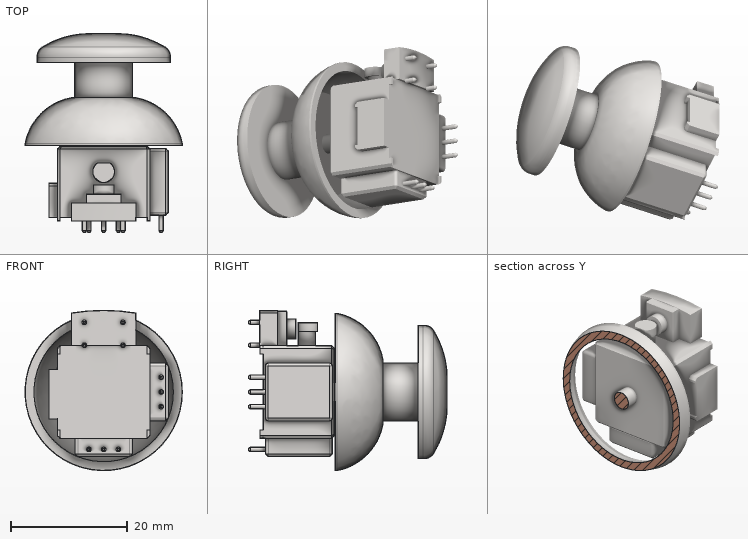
import cadquery as cq


cap_radius = 23.0 / 2
cap_bottom_y = 14.32
cap_side_height = 0.85
cap_shoulder_radius = 10.62
cap_shoulder_y = 16.95
cap_shoulder_round = 2.0
cap_flat_radius = 2.05
cap_top_y = 19.32
cap_crown_round = 16.0
neck_radius = 10.0 / 2

bowl_radius = 27.1 / 2
bowl_wall = 1.55
bowl_lip = 0.35
bowl_round = 10.0
bowl_top_y = 8.3
bowl_top_radius = 5.45
roof_radius = 9.0
roof_y = 5.38
pivot_radius = 3.22 / 2

housing_width = 15.95
housing_half = housing_width / 2
housing_front_y = -0.1
housing_back_y = -12.4
housing_chamfer = 0.48
tab_length = 0.55
tab_thickness = 0.48
tab_height = 1.47

clip_depth = 1.47
clip_top_z = 3.87
clip_bottom_z = -4.63
clip_front_y = -6.92
hook_length = 0.48
hook_height = 0.9

pot_width = 9.95
pot_depth = 3.15
pot_front_y = -0.45
pot_back_y = -12
pot_round = 0.5
pot_chamfer = 0.48
pot_pin_offset = 1.92
pot_pin_pitch = 2.55

switch_width = 11.1
switch_front_y = -9.9
switch_back_y = -13.0
switch_edge_z = 13.6
switch_top_z = 27.6 - bowl_radius
plate_width = 6.0
plate_front_y = -8.3
plate_chamfer = 0.1
plate_top_z = 13.9
nub_radius = 3.5 / 2
nub_front_y = -6.75
nub_z = 10.85
switch_pin_x = 3.32
switch_pin_z = (8.05, 12)

button_radius = 3.75 / 2
button_y = -4.5
button_flat_y = -2.98
button_bottom_z = 10.38
button_top_z = 11.95
shank_radius = 3.0 / 2

pin_radius = 0.8 / 2
pin_end_y = cap_top_y - 34.25
pin_tip_length = 0.35
pin_tip_radius = 0.17


def block(x_range, y_range, z_range):
    """Box given by its lower and upper bound along each axis."""
    (x0, x1), (y0, y1), (z0, z1) = x_range, y_range, z_range
    return cq.Workplane("XY").box(x1 - x0, y1 - y0, z1 - z0, centered=False).translate((x0, y0, z0))


def turned(profile):
    """Revolve a closed (radius, y) profile about the Y axis."""
    return profile.close().revolve(360, (0, 0, 0), (0, 1, 0))


def rod_along_y(radius, x, z, y_front, y_back):
    """Round bar parallel to Y, from y_front back to y_back."""
    plane = cq.Plane(origin=(x, y_front, z), xDir=(1, 0, 0), normal=(0, -1, 0))
    return cq.Workplane(plane).circle(radius).extrude(y_front - y_back)


def make_cap():
    profile = (
        cq.Workplane("XY")
        .moveTo(0, cap_bottom_y)
        .lineTo(cap_radius, cap_bottom_y)
        .lineTo(cap_radius, cap_bottom_y + cap_side_height)
        .radiusArc((cap_shoulder_radius, cap_shoulder_y), -cap_shoulder_round)
        .radiusArc((cap_flat_radius, cap_top_y), -cap_crown_round)
        .lineTo(0, cap_top_y)
    )
    return turned(profile)


def make_bowl():
    inner_radius = bowl_radius - bowl_wall
    profile = (
        cq.Workplane("XY")
        .moveTo(inner_radius, 0)
        .lineTo(bowl_radius, 0)
        .lineTo(bowl_radius, bowl_lip)
        .radiusArc((bowl_top_radius, bowl_top_y), -bowl_round)
        .lineTo(0, bowl_top_y)
        .lineTo(0, roof_y)
        .lineTo(roof_radius, roof_y)
        .radiusArc((inner_radius, bowl_lip), bowl_round - bowl_wall)
    )
    return turned(profile)


def make_housing():
    back_y = housing_back_y - tab_length
    span = (-housing_half, housing_half)
    body = block(span, (back_y, housing_front_y), span)
    body = body.edges("|Y").chamfer(housing_chamfer).faces(">Y").chamfer(housing_chamfer)
    trim_y = (back_y, housing_back_y)
    inner_x = housing_half - tab_thickness
    inner_z = housing_half - tab_height
    body = body.cut(block((-inner_x, inner_x), trim_y, span))
    return body.cut(block(span, trim_y, (-inner_z, inner_z)))


def make_clip():
    tip_y = clip_front_y + hook_length
    outline = [
        (housing_back_y, clip_bottom_z),
        (clip_front_y, clip_bottom_z),
        (tip_y, clip_bottom_z + hook_length),
        (tip_y, clip_bottom_z + hook_height),
        (clip_front_y, clip_bottom_z + hook_height),
        (clip_front_y, clip_top_z - hook_height),
        (tip_y, clip_top_z - hook_height),
        (tip_y, clip_top_z - hook_length),
        (clip_front_y, clip_top_z),
        (housing_back_y, clip_top_z),
    ]
    return cq.Workplane("YZ", origin=(-housing_half, 0, 0)).polyline(outline).close().extrude(-clip_depth)


def make_pin(x, z, y_start):
    cone_y = pin_end_y + pin_tip_length
    shaft = rod_along_y(pin_radius, x, z, y_start, cone_y)
    tip = shaft.faces("<Y").workplane().circle(pin_radius)
    return tip.workplane(offset=pin_tip_length).circle(pin_tip_radius).loft(combine=True)


def make_pot():
    """Potentiometer with its pins, placed on the +X side of the housing."""
    half = pot_width / 2
    outer_x = housing_half + pot_depth
    pot = block((housing_half, outer_x), (pot_back_y, pot_front_y), (-half, half))
    pot = pot.edges("|X").fillet(pot_round).faces(">X").chamfer(pot_chamfer)
    for step in (-1, 0, 1):
        pot = pot.union(make_pin(housing_half + pot_pin_offset, step * pot_pin_pitch, pot_back_y))
    return pot


def make_switch():
    half = switch_width / 2
    body = (
        cq.Workplane("XZ", origin=(0, switch_front_y, 0))
        .moveTo(-half, housing_half)
        .lineTo(-half, switch_edge_z)
        .threePointArc((0, switch_top_z), (half, switch_edge_z))
        .lineTo(half, housing_half)
        .close()
        .extrude(switch_front_y - switch_back_y)
    )
    plate_half = plate_width / 2
    plate_y = (switch_front_y, plate_front_y)
    plate = block((-plate_half, plate_half), plate_y, (housing_half, plate_top_z))
    plate = plate.faces(">Y").edges("|Z or >Z").chamfer(plate_chamfer)
    nub = rod_along_y(nub_radius, 0, nub_z, nub_front_y, plate_front_y)
    switch = body.union(plate).union(nub)
    for x in (-switch_pin_x, switch_pin_x):
        for z in switch_pin_z:
            switch = switch.union(make_pin(x, z, switch_back_y))
    return switch


def make_button():
    """Flatted head on a thinner shank; they are flush along the -Y side."""
    shank_y = button_y - button_radius + shank_radius
    shank = cq.Workplane("XY", origin=(0, shank_y, housing_half)).circle(shank_radius)
    shank = shank.extrude(button_bottom_z - housing_half)
    head = cq.Workplane("XY", origin=(0, button_y, button_bottom_z)).circle(button_radius)
    head = head.extrude(button_top_z - button_bottom_z)
    flat_cut = block(
        (-button_radius, button_radius),
        (button_flat_y, button_y + button_radius),
        (button_bottom_z, button_top_z),
    )
    return shank.union(head.cut(flat_cut))


neck = rod_along_y(neck_radius, 0, 0, cap_bottom_y, bowl_top_y)
pivot = rod_along_y(pivot_radius, 0, 0, roof_y, housing_front_y)
side_pot = make_pot()
bottom_pot = side_pot.rotate((0, 0, 0), (0, 1, 0), 90)

result = make_cap()
for piece in (
    neck,
    make_bowl(),
    pivot,
    make_housing(),
    make_clip(),
    side_pot,
    bottom_pot,
    make_switch(),
    make_button(),
):
    result = result.union(piece)